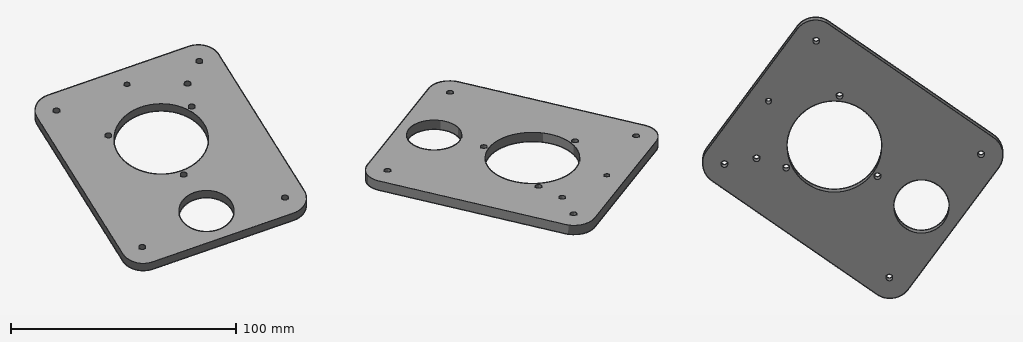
import cadquery as cq
import math

length = 110.0
width = 89.0
thickness = 5.0
corner_radius = 10.0

mount_spacing_x = 90.0
mount_spacing_y = 70.0
mount_diameter = 3.0

large_opening_x = -10.0
large_opening_diameter = 42.0
screw_count = 3
screw_circle_radius = 23.5
screw_diameter = 3.0

small_opening_x = 37.5
small_opening_diameter = 24.5

side_hole_x = -46.0
side_hole_diameter = 2.5
offset_hole_x = -35.0
offset_hole_y = 24.5
offset_hole_diameter = 3.0


def drill(plate, points, diameter):
    """Cut through holes of one diameter at the given points."""
    cutters = cq.Workplane("XY").pushPoints(points).circle(diameter / 2).extrude(thickness)
    return plate.cut(cutters)


plate = cq.Workplane("XY").box(length, width, thickness, centered=(True, True, False))
plate = plate.edges("|Z").fillet(corner_radius)

mount_points = [
    (side_x * mount_spacing_x / 2, side_y * mount_spacing_y / 2)
    for side_x in (-1, 1)
    for side_y in (-1, 1)
]
plate = drill(plate, mount_points, mount_diameter)

plate = drill(plate, [(large_opening_x, 0)], large_opening_diameter)
screw_angles = [2 * math.pi * index / screw_count for index in range(screw_count)]
screw_points = [
    (
        large_opening_x + screw_circle_radius * math.cos(angle),
        screw_circle_radius * math.sin(angle),
    )
    for angle in screw_angles
]
plate = drill(plate, screw_points, screw_diameter)

plate = drill(plate, [(small_opening_x, 0)], small_opening_diameter)
plate = drill(plate, [(side_hole_x, 0)], side_hole_diameter)
plate = drill(plate, [(offset_hole_x, offset_hole_y)], offset_hole_diameter)

result = plate